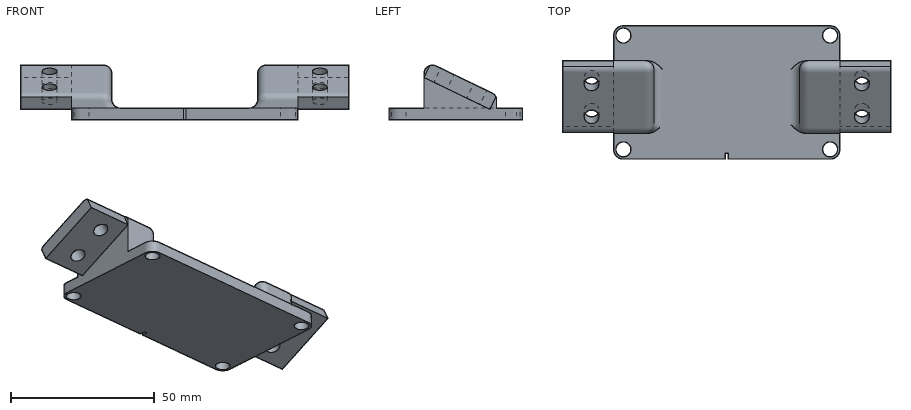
import cadquery as cq
import math

overall_length = 114.3
plate_length = 78.9
plate_width = 46.5
plate_thickness = 4.1
corner_radius = 3.4
corner_hole_inset = 3.4
hole_diameter = 5.1
notch_width = 1.0
notch_depth = 2.1

slope_angle = 25.8
tab_length = 25.5
tab_thickness = 5.5
tab_low_y = -11.9
tab_low_z = 3.7
block_inner_x = 25.4
round_radius = 3.0
foot_reach = 4 * round_radius
tab_hole_x = 47.1
tab_hole_pitch = 12.7

along_y = math.cos(math.radians(slope_angle))
along_z = math.sin(math.radians(slope_angle))
low_corner = (tab_low_y, tab_low_z)
high_corner = (tab_low_y + tab_length * along_y, tab_low_z + tab_length * along_z)
low_top = (tab_low_y - tab_thickness * along_z, tab_low_z + tab_thickness * along_y)
high_top = (low_top[0] + tab_length * along_y, low_top[1] + tab_length * along_z)

front_y = low_top[0]
rear_y = high_corner[0]
rear_top_z = low_top[1] + (rear_y - front_y) * math.tan(math.radians(slope_angle))

outer_x = overall_length / 2
plate_end_x = plate_length / 2


def prism(points, start_x, end_x):
    """Extrude a YZ outline between two X positions."""
    return cq.Workplane("YZ", origin=(start_x, 0, 0)).polyline(points).close().extrude(end_x - start_x)


def edges_at(body, *midpoints):
    """Select the edges nearest to the given points."""
    selected = body.edges(cq.NearestToPointSelector(midpoints[0]))
    for point in midpoints[1:]:
        selected = selected.add(body.edges(cq.NearestToPointSelector(point)))
    return selected


def make_block():
    """Block at the +X end with its overhanging tab, flared where it meets the plate."""
    foot_x = block_inner_x - foot_reach
    outline = [(front_y, -plate_thickness), low_top, (rear_y, rear_top_z), (rear_y, -plate_thickness)]
    above_foot = cq.Workplane("XY", origin=(foot_x, 0, plate_thickness)).box(
        foot_reach, plate_width, overall_length, centered=(False, True, False)
    )
    body = prism(outline, foot_x, outer_x).cut(above_foot)

    middle_y = (front_y + rear_y) / 2
    body = edges_at(body, (block_inner_x, middle_y, plate_thickness)).fillet(round_radius)

    middle_x = (block_inner_x + outer_x) / 2
    middle_top_z = (low_top[1] + rear_top_z) / 2
    upright_base_z = plate_thickness + round_radius
    body = edges_at(
        body,
        (middle_x, front_y, low_top[1]),
        (middle_x, rear_y, rear_top_z),
        (block_inner_x, middle_y, middle_top_z),
        (block_inner_x, front_y, (upright_base_z + low_top[1]) / 2),
        (block_inner_x, rear_y, (upright_base_z + rear_top_z) / 2),
    ).fillet(round_radius)

    tab_outline = [low_corner, low_top, high_top, high_corner]
    kept_inside = cq.Workplane("XY").box(
        plate_end_x, plate_width, overall_length, centered=(False, True, False)
    )
    return body.intersect(kept_inside.union(prism(tab_outline, plate_end_x, outer_x)))


def tab_holes():
    """Two holes square to the sloped face of the +X tab."""
    center_y = (low_top[0] + high_top[0]) / 2
    center_z = (low_top[1] + high_top[1]) / 2
    face = cq.Plane(
        origin=(tab_hole_x, center_y, center_z), xDir=(1, 0, 0), normal=(0, -along_z, along_y)
    )
    return (
        cq.Workplane(face)
        .rarray(1.1, tab_hole_pitch, 1, 2)
        .circle(hole_diameter / 2)
        .extrude(2 * tab_thickness, both=True)
    )


plate = cq.Workplane("XY").box(
    plate_length, plate_width, plate_thickness, centered=(True, True, False)
)
block = make_block().cut(tab_holes())
body = plate.union(block).union(block.mirror("YZ"))

for x in (-plate_end_x, plate_end_x):
    for y in (-plate_width / 2, plate_width / 2):
        body = edges_at(body, (x, y, plate_thickness / 2)).fillet(corner_radius)

corner_holes = (
    cq.Workplane("XY")
    .rarray(plate_length - 2 * corner_hole_inset, plate_width - 2 * corner_hole_inset, 2, 2)
    .circle(hole_diameter / 2)
    .extrude(plate_thickness)
)

notch = cq.Workplane("XY", origin=(0, -plate_width / 2, 0)).box(
    notch_width, 2 * notch_depth, plate_thickness, centered=(True, True, False)
)

result = body.cut(corner_holes).cut(notch)